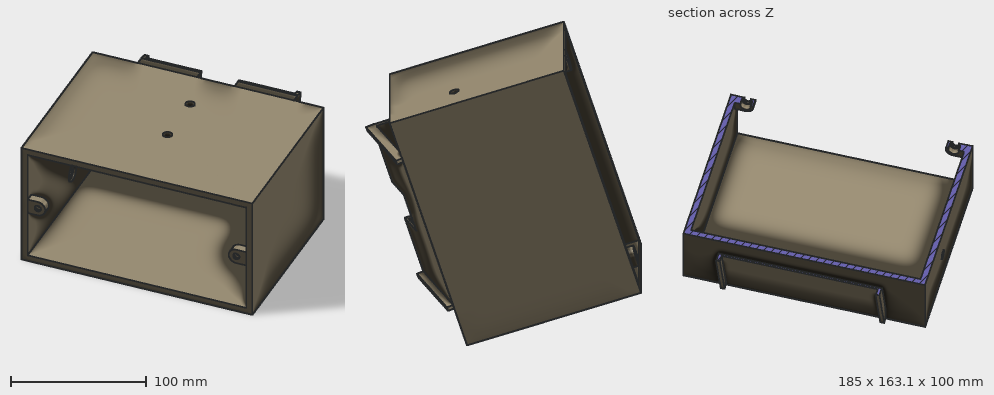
import cadquery as cq
import math

box_width = 185.0
box_depth = 135.0
box_height = 100.0
wall = 5.0

wall_hole_diameter = 7.0
top_hole_depths = (58.0, 101.0)
side_hole_depth = 85.0
side_hole_height = 25.0
side_hole_land = 3.0
side_recess_diameter = 14.0

lug_radius = 6.0
lug_screw_diameter = 5.0
lug_screw_land = 2.0
lug_recess_diameter = 8.0
lug_screw_inset = 13.0
lug_setback = 0.1
lug_length = 7.0
lug_height = 49.0

tray_tilt = 15.0
tray_width = 125.0
tray_length = 90.0
tray_base_thickness = 2.0
tray_rim_height = 5.0
tray_rim_width = 3.0
tray_overhang = 28.12
tray_top_height = 89.45
tray_notch_width = 30.0
tray_notch_depth = 35.0

arm_top_height = 89.0
arm_thickness = 5.0

tilt = math.radians(tray_tilt)
tray_thickness = tray_base_thickness + tray_rim_height
tray_reach = tray_overhang - tray_thickness * math.cos(tilt)
arm_width = (tray_width - tray_notch_width) / 2


def make_box():
    outer = cq.Workplane("XY").box(box_width, box_depth, box_height, centered=(True, False, False))
    cavity = (
        cq.Workplane("XY")
        .box(box_width - 2 * wall, box_depth - wall, box_height - 2 * wall, centered=(True, False, False))
        .translate((0, 0, wall))
    )
    return outer.cut(cavity)


def make_lug(side):
    """Round-ended lug with a screw hole along Y; side is -1 for the -X wall and +1 for the +X wall."""
    screw_x = side * (box_width / 2 - lug_screw_inset)
    wall_x = side * (box_width / 2 - wall / 2)
    plane = cq.Workplane("XZ", origin=(0, lug_setback, lug_height))
    shank = plane.center((screw_x + wall_x) / 2, 0).rect(abs(wall_x - screw_x), 2 * lug_radius)
    shank = shank.extrude(-lug_length)
    nose = plane.center(screw_x, 0).circle(lug_radius).extrude(-lug_length)
    screw_hole = plane.center(screw_x, 0).circle(lug_screw_diameter / 2).extrude(-lug_length)
    recess = plane.center(screw_x, 0).workplane(offset=-lug_screw_land)
    recess = recess.circle(lug_recess_diameter / 2).extrude(lug_screw_land - lug_length)
    return shank.union(nose).cut(screw_hole).cut(recess)


def make_tray():
    """Tray built upright with its inner top edge at the origin, then tilted and moved into place."""
    slab = (
        cq.Workplane("XY")
        .box(tray_width, tray_thickness, tray_length, centered=(True, False, False))
        .translate((0, 0, -tray_length))
    )
    recess = (
        cq.Workplane("XY")
        .box(tray_width - 2 * tray_rim_width, tray_rim_height, tray_length, centered=(True, False, False))
        .translate((0, tray_base_thickness, -tray_length))
    )
    notch = (
        cq.Workplane("XY")
        .box(tray_notch_width, tray_thickness, tray_notch_depth, centered=(True, False, False))
        .translate((0, 0, -tray_notch_depth))
    )
    tray = slab.cut(recess).cut(notch)
    tray = tray.rotate((0, 0, 0), (1, 0, 0), -tray_tilt)
    return tray.translate((0, box_depth + tray_reach, tray_top_height))


def make_arm(side):
    """Flat arm from the back wall to the sloping inner face of the tray."""
    upper_reach = tray_reach - (tray_top_height - arm_top_height) * math.tan(tilt)
    lower_reach = upper_reach - arm_thickness * math.tan(tilt)
    centre_x = side * (tray_notch_width + arm_width) / 2
    back = box_depth - wall / 2
    return (
        cq.Workplane("YZ", origin=(centre_x, 0, 0))
        .moveTo(back, arm_top_height)
        .lineTo(box_depth + upper_reach, arm_top_height)
        .lineTo(box_depth + lower_reach, arm_top_height - arm_thickness)
        .lineTo(back, arm_top_height - arm_thickness)
        .close()
        .extrude(arm_width / 2, both=True)
    )


def cut_wall_holes(body):
    radius = wall_hole_diameter / 2
    for depth in top_hole_depths:
        drill = cq.Workplane("XY", origin=(0, depth, box_height - wall)).circle(radius).extrude(wall)
        body = body.cut(drill)
    side_plane = cq.Workplane("YZ", origin=(-box_width / 2, side_hole_depth, side_hole_height))
    body = body.cut(side_plane.circle(radius).extrude(wall))
    recess = side_plane.workplane(offset=side_hole_land).circle(side_recess_diameter / 2)
    return body.cut(recess.extrude(wall - side_hole_land))


result = make_box().union(make_tray())
for side in (-1, 1):
    result = result.union(make_arm(side)).union(make_lug(side))
result = cut_wall_holes(result)